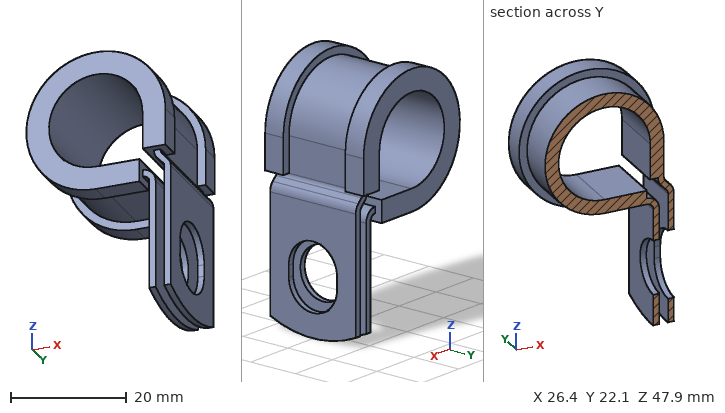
import cadquery as cq
import math


cushion_inner_radius = 8.74
cushion_outer_radius = 12.99
cushion_width = 22.1
flange_width = 4.1
side_leg_length = 6.85
bottom_leg_length = 8.15

strap_thickness = 1.2
strap_outer_radius = 11.45
strap_inner_radius = strap_outer_radius - strap_thickness
strap_width = 19.2
bend_inner_radius = 1.2
bend_outer_radius = bend_inner_radius + strap_thickness

tab_bottom_z = -34.9
tab_end_sag = 2.1
hole_diameter = 10.3
slot_width = 10.8
slot_length = 13.0
hole_z = -23.77
jog_angle = 45.0
outer_tab_face_x = 13.37


def extrude_across(profile, width):
    """Extrude an XZ profile by width, centred on the plane Y = 0."""
    return profile.extrude(width / 2, both=True)


def loop_band(inner_radius, outer_radius, width):
    """Three-quarter ring with one leg running down and one running toward +X."""
    diagonal = math.sqrt(0.5)
    profile = (
        cq.Workplane("XZ")
        .moveTo(outer_radius, -side_leg_length)
        .lineTo(outer_radius, 0)
        .threePointArc((-outer_radius * diagonal, outer_radius * diagonal), (0, -outer_radius))
        .lineTo(bottom_leg_length, -outer_radius)
        .lineTo(bottom_leg_length, -inner_radius)
        .lineTo(0, -inner_radius)
        .threePointArc((-inner_radius * diagonal, inner_radius * diagonal), (inner_radius, 0))
        .lineTo(inner_radius, -side_leg_length)
        .close()
    )
    return extrude_across(profile, width)


def inner_tab():
    """Tab that turns down through a right angle from the end of the bottom leg."""
    bend_z = -strap_outer_radius - bend_inner_radius
    profile = (
        cq.Workplane("XZ")
        .moveTo(bottom_leg_length, -strap_inner_radius)
        .radiusArc((bottom_leg_length + bend_outer_radius, bend_z), bend_outer_radius)
        .lineTo(bottom_leg_length + bend_outer_radius, tab_bottom_z)
        .lineTo(bottom_leg_length + bend_inner_radius, tab_bottom_z)
        .lineTo(bottom_leg_length + bend_inner_radius, bend_z)
        .radiusArc((bottom_leg_length, -strap_outer_radius), -bend_inner_radius)
        .close()
    )
    return extrude_across(profile, strap_width)


def outer_tab():
    """Tab that jogs outward below the side leg and then runs straight down."""
    slope = math.radians(jog_angle)
    sine = math.sin(slope)
    bend_rise = 1 - math.cos(slope)
    offset = outer_tab_face_x - strap_outer_radius
    bends_offset = (bend_inner_radius + bend_outer_radius) * bend_rise
    straight_drop = (offset - bends_offset) / math.tan(slope)
    jog_drop = (bend_inner_radius + bend_outer_radius) * sine + straight_drop

    top_z = -side_leg_length
    jog_bottom_z = top_z - jog_drop
    tab_inner_x = outer_tab_face_x - strap_thickness

    profile = (
        cq.Workplane("XZ")
        .moveTo(strap_outer_radius, top_z)
        .radiusArc(
            (strap_outer_radius + bend_inner_radius * bend_rise, top_z - bend_inner_radius * sine),
            -bend_inner_radius,
        )
        .lineTo(outer_tab_face_x - bend_outer_radius * bend_rise, jog_bottom_z + bend_outer_radius * sine)
        .radiusArc((outer_tab_face_x, jog_bottom_z), bend_outer_radius)
        .lineTo(outer_tab_face_x, tab_bottom_z)
        .lineTo(tab_inner_x, tab_bottom_z)
        .lineTo(tab_inner_x, jog_bottom_z)
        .radiusArc(
            (tab_inner_x - bend_inner_radius * bend_rise, jog_bottom_z + bend_inner_radius * sine),
            -bend_inner_radius,
        )
        .lineTo(strap_inner_radius + bend_outer_radius * bend_rise, top_z - bend_outer_radius * sine)
        .radiusArc((strap_inner_radius, top_z), bend_outer_radius)
        .close()
    )
    return extrude_across(profile, strap_width)


def round_tab_end(tab):
    """Trim the lower end of a tab to an arc."""
    half_width = strap_width / 2
    shoulder_z = tab_bottom_z + tab_end_sag
    outline = (
        cq.Workplane("YZ")
        .moveTo(-half_width, 0)
        .lineTo(-half_width, shoulder_z)
        .threePointArc((0, tab_bottom_z), (half_width, shoulder_z))
        .lineTo(half_width, 0)
        .close()
        .extrude(outer_tab_face_x)
    )
    return tab.intersect(outline)


def bolt_hole():
    """Round hole through the inner tab."""
    return cq.Workplane("YZ").center(0, hole_z).circle(hole_diameter / 2).extrude(outer_tab_face_x)


def bolt_slot():
    """Upright slot through the outer tab, centred on the bolt hole."""
    return (
        cq.Workplane("YZ")
        .center(0, hole_z)
        .slot2D(slot_length, slot_width, 90)
        .extrude(outer_tab_face_x)
    )


def cushioned_loop():
    """Strap ring lined by the cushion, with a full-height flange along each edge."""
    loop = loop_band(cushion_inner_radius, strap_outer_radius, cushion_width)
    flange_offset = (cushion_width - flange_width) / 2
    for side in (-1, 1):
        flange = loop_band(cushion_inner_radius, cushion_outer_radius, flange_width)
        loop = loop.union(flange.translate((0, side * flange_offset, 0)))
    return loop


inner = round_tab_end(inner_tab()).cut(bolt_hole())
outer = round_tab_end(outer_tab()).cut(bolt_slot())
result = cushioned_loop().union(inner).union(outer)